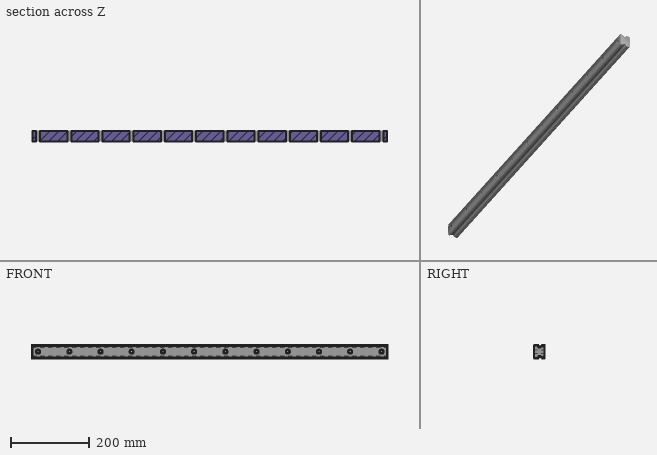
import math

import cadquery as cq

length = 910.0
height = 27.5
width = 34.0

foot_chamfer = 2.0
foot_thickness = 10.2

waist_half_width = 11.0
waist_slope = math.radians(30)

underside_raceway_start = 7.3
underside_raceway_depth = 0.6
side_start = 8.9
side_end = 11.9

shoulder_half_width = 16.3
top_raceway_outer = 15.3
top_raceway_inner = 11.9
top_raceway_depth = 0.8

hole_diameter = 9.0
hole_pitch = 80.0
hole_count = 12

half_height = height / 2
half_width = width / 2


def rail_body():
    """Sweep the rail section, symmetric about Z = 0, along X."""
    foot_top = -half_height + foot_thickness
    wall_depth = half_width - waist_half_width
    waist_y = foot_top + wall_depth * math.tan(waist_slope)

    underside_run = underside_raceway_start - waist_y
    underside_z = waist_half_width + underside_run * math.tan(waist_slope)
    underside_raceway_mid = (
        (underside_raceway_start + side_start) / 2 + underside_raceway_depth * math.sin(waist_slope),
        (underside_z + half_width) / 2 - underside_raceway_depth * math.cos(waist_slope),
    )
    top_raceway_mid = (
        half_height - top_raceway_depth,
        (top_raceway_outer + top_raceway_inner) / 2,
    )

    return (
        cq.Workplane("YZ", origin=(-length / 2, 0, 0))
        .moveTo(-half_height, 0)
        .lineTo(-half_height, half_width - foot_chamfer)
        .lineTo(-half_height + foot_chamfer, half_width)
        .lineTo(foot_top, half_width)
        .lineTo(waist_y, waist_half_width)
        .lineTo(underside_raceway_start, underside_z)
        .threePointArc(underside_raceway_mid, (side_start, half_width))
        .lineTo(side_end, half_width)
        .lineTo(half_height, shoulder_half_width)
        .lineTo(half_height, top_raceway_outer)
        .threePointArc(top_raceway_mid, (half_height, top_raceway_inner))
        .lineTo(half_height, 0)
        .mirrorX()
        .extrude(length)
    )


def mounting_holes():
    """Row of round holes right through the rail in Y."""
    return (
        cq.Workplane("XZ", origin=(0, half_height, 0))
        .rarray(hole_pitch, 1, hole_count, 1)
        .circle(hole_diameter / 2)
        .extrude(height)
    )


result = rail_body().cut(mounting_holes())